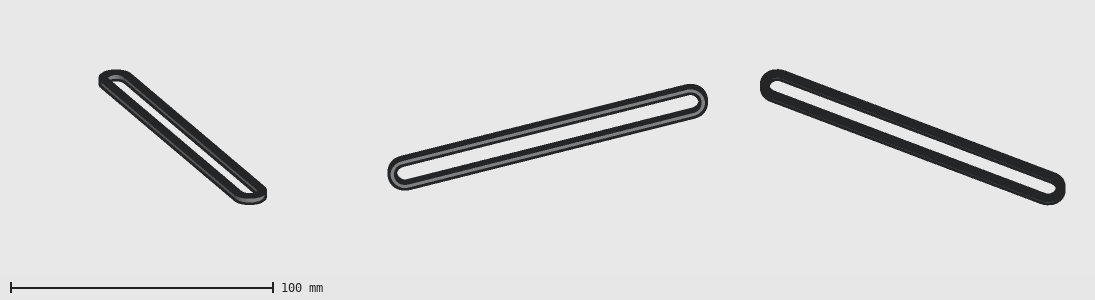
import cadquery as cq

length = 125.0
width = 12.5
height = 3.125

wall = 2.75
edge_chamfer = 0.3

groove_width = 0.55
groove_depth = 0.3


def racetrack(inset, bottom, depth):
    """Solid racetrack, set in from the outer outline by `inset`."""
    return (
        cq.Workplane("XY")
        .workplane(offset=bottom)
        .slot2D(length - 2 * inset, width - 2 * inset)
        .extrude(depth)
    )


def racetrack_ring(outer_inset, inner_inset, bottom, depth):
    """Ring between two concentric racetracks."""
    outer = racetrack(outer_inset, bottom, depth)
    return outer.cut(racetrack(inner_inset, bottom, depth))


def make_body():
    """Ring with bevelled inner and outer edges on both faces."""
    ring = racetrack_ring(0, wall, 0, height)
    return ring.faces("<Z or >Z").edges().chamfer(edge_chamfer)


def make_groove():
    """Material removed by the groove in the top face."""
    groove_start = (wall - groove_width) / 2
    groove_end = groove_start + groove_width
    return racetrack_ring(groove_start, groove_end, height - groove_depth, groove_depth)


result = make_body().cut(make_groove())